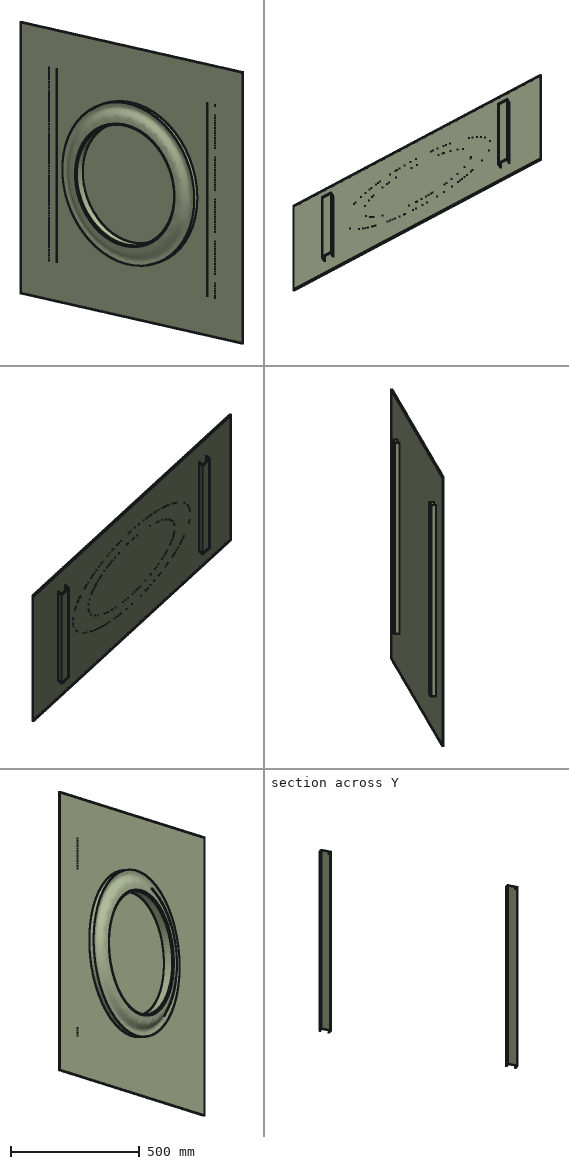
import cadquery as cq

panel_side = 1100.0
panel_thickness = 4.0

total_depth = 66.0
channel_depth = 20.0
ring_height = total_depth - panel_thickness - channel_depth
ring_outer_radius = 327.0
ring_bore_radius = 241.0
rim_height = 20.0
lip_radius = 246.0
bore_height = 37.0
rim_pull_radius = 278.0
rim_pull_height = 8.0
lip_pull_radius = 308.0

channel_width = 41.0
channel_length = 783.0
channel_wall = 2.0
channel_center_x = 392.0


def make_panel():
    return cq.Workplane("XY").box(
        panel_side, panel_thickness, panel_side, centered=(True, False, True)
    )


def make_ring():
    """Ring revolved about Y, its front one smooth curve that dips inside the rim, then rises to the lip."""
    front_curve = [
        (ring_outer_radius, -rim_height),
        (rim_pull_radius, -rim_pull_height),
        (lip_pull_radius, -ring_height),
        (lip_radius, -ring_height),
    ]
    return (
        cq.Workplane("XY")
        .moveTo(ring_bore_radius, 0)
        .lineTo(ring_outer_radius, 0)
        .lineTo(ring_outer_radius, -rim_height)
        .bezier(front_curve)
        .lineTo(ring_bore_radius, -bore_height)
        .close()
        .revolve(360, (0, 0, 0), (0, 1, 0))
    )


def make_channel(center_x):
    """U-channel standing along Z, its open side closed off by the panel."""
    outside = cq.Workplane("XY").box(
        channel_width, channel_depth, channel_length, centered=(True, False, True)
    )
    hollow = cq.Workplane("XY").box(
        channel_width - 2 * channel_wall,
        channel_depth - channel_wall,
        channel_length,
        centered=(True, False, True),
    )
    return outside.cut(hollow).translate((center_x, panel_thickness, 0))


panel = make_panel()
ring = make_ring()
channels = [make_channel(side * channel_center_x) for side in (-1, 1)]

result = cq.Compound.makeCompound(
    [panel.val(), ring.val(), *[channel.val() for channel in channels]]
)